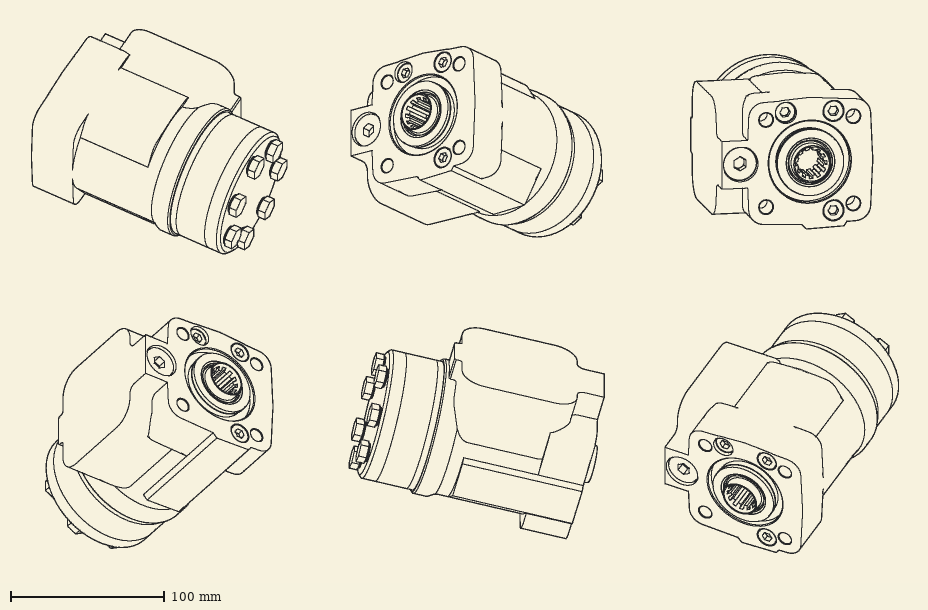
import cadquery as cq
import math


pilot_front = 5.0
face_x = 7.5
flange_end = 38.0
trunk_end = 94.7
neck_end = 97.0
collar_start = 101.6
collar_end = 110.4
drum_start = 111.5
ring_start = 115.6
cover_start = 136.7
cover_end = 147.5
overall_length = 154.0

trunk_radius = 42.0
collar_radius = 90.0 / 2
drum_radius = 86.0 / 2
neck_radius = 42.5
collar_chamfer = 1.0
collar_front_drop = 0.3
drum_chamfer = 2.0

flange_setback = 0.08
flange_corner_half = 40.2
flange_corner_radius = 10.3
mount_hole_pitch = 58.0
mount_hole_diameter = 9.0
mount_hole_chamfer = 0.5
mount_hole_depth = 18.5
drill_tip_angle = 118.0

roof_apex_z = 42.8
roof_edge_y = 23.2
roof_edge_z = 41.1
roof_foot_y = 31.2
roof_foot_z = 28.2
roof_edge_radius = 10.0
pad_inner_top = (5.5, -41.4)
pad_inner_bottom = (2.3, -44.8)
pad_outer_bottom = (-22.8, -43.7)
pad_outer_bevel = (-23.9, -42.2)
pad_outer_break = (-25.0, -40.5)
pad_outer_top = (-36.2, -21.4)

block_face_y = 103.5 - collar_radius
block_half_height = 39.1
nose_half_height = 15.9
nose_length = 13.1
block_inner_radius = 5.1
block_outer_radius = 15.1
block_wall_height = 3.1
block_back_x = 103.3
pad_end = block_back_x - block_outer_radius
tail_end = 108.4
tail_half_height = 11.5
tail_inner_radius = 2.0
tail_chamfer = 1.1

plug_y = 45.9
plug_recess_diameter = 23.0
plug_recess_depth = 3.8
plug_head_diameter = 22.0
plug_head_recess = 2.3
plug_socket_width = 8.0
plug_socket_depth = 6.2

screw_y = 15.9
screw_z = 33.1
screw_pocket_diameter = 14.0
screw_pocket_depth = 3.1
screw_head_diameter = 13.0
deep_screw_recess = 2.3
flush_screw_recess = 0.3
screw_socket_width = 6.0
screw_socket_depth = 3.8

recess_diameter = 54.2
recess_chamfer = 0.6
recess_depth = 5.0
pilot_diameter = 44.2
pilot_root_diameter = 43.3
pilot_height = 3.1
seal_bore_diameter = 29.5
seal_ledge_diameter = 32.3
seal_ledge_depth = 0.5
seal_bore_depth = 2.5
seal_lip_diameter = 27.7
seal_lip_height = 1.2
shaft_diameter = 25.4
shaft_nose_diameter = 24.5
shaft_nose_length = 1.5
shaft_mouth_diameter = 23.0
spline_minor_diameter = 17.2
spline_major_diameter = 20.3
spline_groove_width = 2.3
spline_count = 12
spline_lead_in = 4.3
spline_depth = 23.1

bolt_count = 7
bolt_circle_radius = 32.0
bolt_head_width = 13.0
washer_diameter = 12.0
washer_height = 0.8
head_rim_diameter = 13.0
head_rim_height = 0.5


def at_x(x):
    """Workplane facing +X at station x: local x is Y, local y is Z."""
    return cq.Workplane("YZ", origin=(x, 0, 0))


def hex_corners(flat_width):
    """Diameter through the corners of a hexagon."""
    return flat_width / math.cos(math.pi / 6)


def disc(x_start, x_end, diameter, y=0, z=0):
    return at_x(x_start).center(y, z).circle(diameter / 2).extrude(x_end - x_start)


def cone(x_start, x_end, start_radius, end_radius, y=0, z=0):
    """Frustum along X; an end radius of zero gives a pointed cone."""
    solid = cq.Solid.makeCone(
        start_radius, end_radius, x_end - x_start, pnt=cq.Vector(x_start, y, z), dir=cq.Vector(1, 0, 0)
    )
    return cq.Workplane(obj=solid)


def hex_prism(x_start, x_end, flat_width, y, z, turn=90):
    """Hexagonal prism along X with one corner at the given angle from the Y axis."""
    prism = at_x(0).polygon(6, hex_corners(flat_width)).extrude(x_end - x_start)
    return prism.rotate((0, 0, 0), (1, 0, 0), turn).translate((x_start, y, z))


def drill_tip(x_start, diameter, y, z):
    tip_length = diameter / 2 / math.tan(math.radians(drill_tip_angle / 2))
    return cone(x_start, x_start + tip_length, diameter / 2, 0, y, z)


def hex_socket(x_start, depth, flat_width, y, z, turn=90):
    """Hexagonal socket ending in a drilled cone."""
    bottom_x = x_start + depth
    return hex_prism(x_start, bottom_x, flat_width, y, z, turn).union(drill_tip(bottom_x, flat_width, y, z))


def round_long_edge(body, y, z, radius):
    """Round the edge along X that passes nearest to the point (y, z)."""
    middle_x = body.val().Center().x
    return body.edges("|X").edges(cq.selectors.NearestToPointSelector((middle_x, y, z))).fillet(radius)


def make_trunk():
    """Turned trunk with a collar and the short drum land behind it."""
    return (
        cq.Workplane("XY")
        .moveTo(face_x, 0)
        .lineTo(face_x, trunk_radius)
        .lineTo(trunk_end, trunk_radius)
        .lineTo(neck_end, neck_radius)
        .lineTo(collar_start - collar_chamfer, collar_radius - collar_front_drop)
        .lineTo(collar_start, collar_radius)
        .lineTo(collar_end, collar_radius)
        .lineTo(drum_start, collar_radius - collar_chamfer)
        .lineTo(drum_start, drum_radius)
        .lineTo(ring_start, drum_radius)
        .lineTo(ring_start, 0)
        .close()
        .revolve(360, (0, 0, 0), (1, 0, 0))
    )


def make_flange():
    """Square plate whose sides rise slightly to the middle."""
    middle = trunk_radius - flange_setback
    half = flange_corner_half
    outline = [
        (middle, 0), (half, half), (0, middle), (-half, half),
        (-middle, 0), (-half, -half), (0, -middle), (half, -half),
    ]
    plate = at_x(face_x).polyline(outline).close().extrude(flange_end - face_x)
    for side_y in (-half, half):
        for side_z in (-half, half):
            plate = round_long_edge(plate, side_y, side_z, flange_corner_radius)
    return plate


def make_roof_pad():
    outline = [
        (0, roof_apex_z), (roof_edge_y, roof_edge_z), (roof_foot_y, roof_foot_z),
        (-roof_foot_y, roof_foot_z), (-roof_edge_y, roof_edge_z),
    ]
    pad = at_x(face_x).polyline(outline).close().extrude(pad_end - face_x)
    for side_y in (-roof_edge_y, roof_edge_y):
        pad = round_long_edge(pad, side_y, roof_edge_z, roof_edge_radius)
    return pad


def make_bottom_pad():
    outline = [
        pad_inner_top, pad_inner_bottom,
        pad_outer_bottom, pad_outer_bevel, pad_outer_break, pad_outer_top,
        (pad_inner_top[0], pad_outer_top[1]),
    ]
    return at_x(face_x).polyline(outline).close().extrude(pad_end - face_x)


def make_port_block():
    """Block with a narrow nose at the front and a short tail at the back, symmetric about Z = 0."""
    diagonal = math.sqrt(0.5)
    wall_x = face_x + nose_length + block_inner_radius
    wall_bottom = nose_half_height + block_inner_radius
    wall_top = wall_bottom + block_wall_height
    top = block_half_height
    tail_root = tail_half_height + tail_inner_radius
    inner, outer, tail = block_inner_radius, block_outer_radius, tail_inner_radius
    half_block = (
        cq.Workplane("XZ", origin=(0, block_face_y, 0))
        .moveTo(face_x, 0)
        .lineTo(face_x, nose_half_height)
        .lineTo(wall_x - inner, nose_half_height)
        .threePointArc((wall_x - inner + inner * diagonal, wall_bottom - inner * diagonal), (wall_x, wall_bottom))
        .lineTo(wall_x, wall_top)
        .threePointArc((wall_x + outer - outer * diagonal, wall_top + outer * diagonal), (wall_x + outer, top))
        .lineTo(block_back_x - outer, top)
        .threePointArc(
            (block_back_x - outer + outer * diagonal, top - outer + outer * diagonal), (block_back_x, top - outer)
        )
        .lineTo(block_back_x, tail_root)
        .threePointArc(
            (block_back_x + tail - tail * diagonal, tail_root - tail * diagonal),
            (block_back_x + tail, tail_half_height),
        )
        .lineTo(tail_end - tail_chamfer, tail_half_height)
        .lineTo(tail_end, tail_half_height - tail_chamfer)
        .lineTo(tail_end, 0)
        .close()
        .extrude(block_face_y)
    )
    return half_block.union(half_block.mirror("XY"))


def cut_mount_holes(body):
    radius = mount_hole_diameter / 2
    bottom_x = face_x + mount_hole_depth
    for y in (-mount_hole_pitch / 2, mount_hole_pitch / 2):
        for z in (-mount_hole_pitch / 2, mount_hole_pitch / 2):
            body = body.cut(disc(face_x, bottom_x, mount_hole_diameter, y, z))
            body = body.cut(drill_tip(bottom_x, mount_hole_diameter, y, z))
            body = body.cut(cone(face_x, face_x + mount_hole_chamfer, radius + mount_hole_chamfer, radius, y, z))
    return body


def add_plug(body):
    """Round recess in the nose of the port block, with a plug head sunk below the face."""
    floor_x = face_x + plug_recess_depth
    head_x = face_x + plug_head_recess
    body = body.cut(disc(face_x, floor_x, plug_recess_diameter, plug_y))
    body = body.union(disc(head_x, floor_x, plug_head_diameter, plug_y))
    return body.cut(hex_socket(head_x, plug_socket_depth, plug_socket_width, plug_y, 0))


def add_screw(body, y, z, head_recess):
    """Round pocket holding a socket screw head that sits below the flange face."""
    floor_x = face_x + screw_pocket_depth
    head_x = face_x + head_recess
    body = body.cut(disc(face_x, floor_x, screw_pocket_diameter, y, z))
    body = body.union(disc(head_x, floor_x, screw_head_diameter, y, z))
    return body.cut(hex_socket(head_x, screw_socket_depth, screw_socket_width, y, z, turn=0))


def add_shaft_end(body):
    """Recess in the flange face, the pilot ring standing in it, and the splined shaft end inside the ring."""
    recess_radius = recess_diameter / 2
    recess_floor = face_x + recess_depth
    body = body.cut(disc(face_x, recess_floor, recess_diameter))
    body = body.cut(cone(face_x, face_x + recess_chamfer, recess_radius + recess_chamfer, recess_radius))
    body = body.union(disc(pilot_front, pilot_front + pilot_height, pilot_diameter))
    body = body.union(disc(pilot_front, recess_floor, pilot_root_diameter))

    seal_floor = pilot_front + seal_bore_depth
    body = body.cut(disc(pilot_front, pilot_front + seal_ledge_depth, seal_ledge_diameter))
    body = body.cut(disc(pilot_front, seal_floor, seal_bore_diameter))
    body = body.union(cone(seal_floor - seal_lip_height, seal_floor, shaft_diameter / 2, seal_lip_diameter / 2))

    body = body.union(cone(0, shaft_nose_length, shaft_nose_diameter / 2, shaft_diameter / 2))
    body = body.union(disc(shaft_nose_length, seal_floor, shaft_diameter))
    return body.cut(make_spline_bore())


def make_spline_bore():
    """Conical mouth leading into a blind bore with straight grooves around it."""
    bore = cone(0, spline_lead_in, shaft_mouth_diameter / 2, spline_minor_diameter / 2)
    bore = bore.union(disc(spline_lead_in, spline_depth, spline_minor_diameter))
    for index in range(spline_count):
        groove = (
            at_x(0)
            .rect(spline_groove_width, spline_major_diameter / 2, centered=(True, False))
            .extrude(spline_depth)
            .rotate((0, 0, 0), (1, 0, 0), index * 360 / spline_count)
        )
        bore = bore.union(groove)
    return bore


def make_housing():
    body = make_trunk().union(make_flange()).union(make_roof_pad()).union(make_bottom_pad())
    body = body.union(make_port_block())
    body = cut_mount_holes(body)
    body = add_plug(body)
    body = add_screw(body, screw_y, screw_z, deep_screw_recess)
    body = add_screw(body, -screw_y, screw_z, flush_screw_recess)
    body = add_screw(body, -screw_y, -screw_z, flush_screw_recess)
    return add_shaft_end(body)


def make_gear_ring():
    return disc(ring_start, cover_start, 2 * drum_radius)


def make_end_cover():
    cover = disc(cover_start, cover_end, 2 * drum_radius).faces(">X").chamfer(drum_chamfer)
    rim_x = cover_end + washer_height
    head_x = rim_x + head_rim_height
    for index in range(bolt_count):
        angle = index * 2 * math.pi / bolt_count
        y = bolt_circle_radius * math.sin(angle)
        z = bolt_circle_radius * math.cos(angle)
        cover = cover.union(disc(cover_end, rim_x, washer_diameter, y, z))
        cover = cover.union(disc(rim_x, head_x, head_rim_diameter, y, z))
        cover = cover.union(hex_prism(head_x, overall_length, bolt_head_width, y, z))
    return cover


housing = make_housing()
gear_ring = make_gear_ring()
end_cover = make_end_cover()

result = cq.Compound.makeCompound([housing.val(), gear_ring.val(), end_cover.val()])